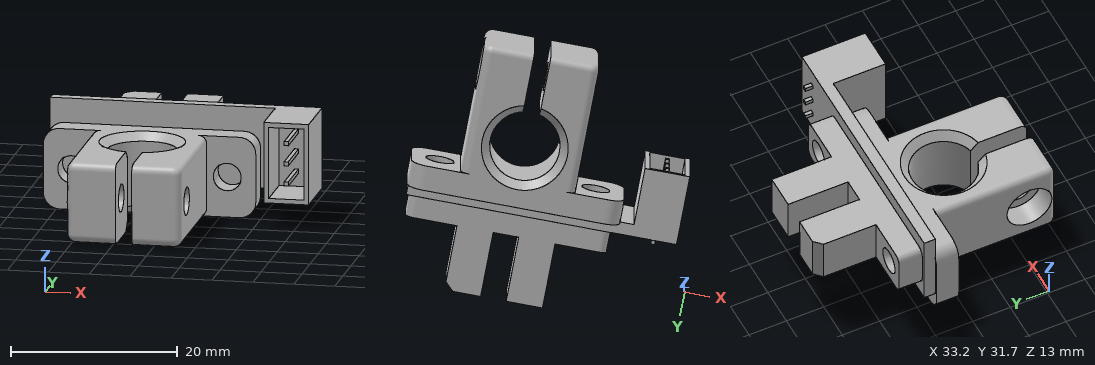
import cadquery as cq


housing_length = 19.02
housing_height = 9.98
flange_width = 26.0
flange_thickness = 3.0
flange_corner_radius = 2.0
clamp_width = 14.0
clamp_edge_radius = 1.0

bore_diameter = 8.4
bore_y = -7.38
bore_chamfer = 1.0
slot_width = 2.0

clamp_screw_diameter = 3.4
clamp_screw_head_diameter = 6.0
clamp_screw_head_depth = 3.03
clamp_screw_setback = 3.62
clamp_screw_y = clamp_screw_setback - housing_length

mount_hole_spacing = 19.02
flange_hole_diameter = 3.4

board_gap = 0.05
board_width = 33.02
board_height = 9.98
board_thickness = 1.5
overall_width = 33.25
board_right = overall_width - flange_width / 2
board_z = 3.03
board_front = board_gap
board_rear = board_front + board_thickness
board_hole_diameter = 3.3

base_width = 24.55
base_thickness = 3.1
base_height = 6.0
base_edge_radius = 1.0
base_rear = board_rear + base_thickness

fork_width = 12.0
fork_opening = 3.1
prong_length = 8.0
prong_width = (fork_width - fork_opening) / 2
prong_chamfer = 1.0

connector_width = 5.5
connector_length = 7.0
connector_wall = 0.6
connector_x = board_right - connector_width / 2
connector_front = board_front - connector_length
pocket_depth = connector_length - connector_wall

pin_count = 3
pin_pitch = 2.5
pin_size = 0.5
pin_tail = 1.0


def block(width, height, y_front, y_rear, x=0.0, z=0.0):
    """Box centred on x and z that spans y_front to y_rear."""
    length = y_rear - y_front
    return cq.Workplane("XY").box(width, length, height).translate((x, y_front + length / 2, z))


def cylinder_along_y(diameter, y_front, y_rear, x, z):
    """Round cutter parallel to Y."""
    return cq.Workplane(
        cq.Solid.makeCylinder(diameter / 2, y_rear - y_front, cq.Vector(x, y_front, z), cq.Vector(0, 1, 0))
    )


def cylinder_along_x(diameter, x_start, length):
    """Round cutter on the axis of the clamping screw."""
    return cq.Workplane(
        cq.Solid.makeCylinder(diameter / 2, length, cq.Vector(x_start, clamp_screw_y, 0), cq.Vector(1, 0, 0))
    )


def cut_mount_holes(body, diameter, y_front, y_rear, z):
    """Pair of mounting holes, one on each side of the symmetry plane."""
    for side in (-1, 1):
        body = body.cut(cylinder_along_y(diameter, y_front, y_rear, side * mount_hole_spacing / 2, z))
    return body


def make_bore_cutter():
    """Vertical bore, chamfered at both ends."""
    bore_radius = bore_diameter / 2
    mouth_radius = bore_radius + bore_chamfer
    top = housing_height / 2
    bore_profile = (
        cq.Workplane("XZ")
        .moveTo(0, -top)
        .lineTo(mouth_radius, -top)
        .lineTo(bore_radius, bore_chamfer - top)
        .lineTo(bore_radius, top - bore_chamfer)
        .lineTo(mouth_radius, top)
        .lineTo(0, top)
        .close()
    )
    return bore_profile.revolve(360, (0, 0), (0, 1)).translate((0, bore_y, 0))


def make_housing():
    """Flanged split clamp with a chamfered bore and a counterbored clamping screw hole."""
    flange = block(flange_width, housing_height, -flange_thickness, 0).edges("|Y").fillet(flange_corner_radius)
    flange = cut_mount_holes(flange, flange_hole_diameter, -flange_thickness, 0, 0)

    clamp = block(clamp_width, housing_height, -housing_length, -flange_thickness)
    clamp = clamp.cut(cylinder_along_x(clamp_screw_head_diameter, -clamp_width / 2, clamp_screw_head_depth))
    clamp = clamp.edges("<Y or (|Y and >X) or (|Y and <X)").fillet(clamp_edge_radius)
    clamp = clamp.cut(cylinder_along_x(clamp_screw_diameter, -clamp_width / 2, clamp_width))

    housing = flange.union(clamp)
    slot = block(slot_width, housing_height, -housing_length, bore_y)
    return housing.cut(make_bore_cutter()).cut(slot)


def make_prong(side):
    """One arm of the fork: side -1 is the left arm, side 1 the right arm."""
    x = side * (fork_opening + prong_width) / 2
    return block(prong_width, base_height, base_rear, base_rear + prong_length, x, board_z)


def make_connector():
    """Connector shell, open towards -Y."""
    connector = block(connector_width, board_height, connector_front, board_front, connector_x, board_z)
    pocket = block(
        connector_width - 2 * connector_wall,
        board_height - 2 * connector_wall,
        connector_front,
        connector_front + pocket_depth,
        connector_x,
        board_z,
    )
    return connector.cut(pocket)


def make_pin(z):
    """Square contact pin, flush with the connector mouth, that passes through to the rear of the board."""
    return block(pin_size, pin_size, connector_front, board_rear + pin_tail, connector_x, z)


def make_sensor():
    """Circuit board with the fork on its rear face and the pin connector on its front face."""
    board_x = board_right - board_width / 2
    board = block(board_width, board_height, board_front, board_rear, board_x, board_z)

    base = block(base_width, base_height, board_rear, base_rear, 0, board_z)
    base = base.edges("|Y").fillet(base_edge_radius)
    left_prong = make_prong(-1).edges("|Z and <X and >Y").chamfer(prong_chamfer)
    right_prong = make_prong(1)

    sensor = board.union(base).union(left_prong).union(right_prong).union(make_connector())
    sensor = cut_mount_holes(sensor, board_hole_diameter, board_front, base_rear, board_z)
    for index in range(pin_count):
        pin_z = board_z + (index - (pin_count - 1) / 2) * pin_pitch
        sensor = sensor.union(make_pin(pin_z))
    return sensor


housing = make_housing()
sensor = make_sensor()
result = cq.Compound.makeCompound([housing.val(), sensor.val()])